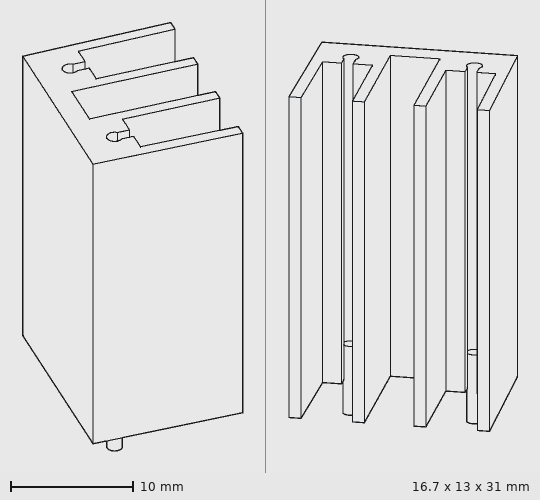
import cadquery as cq

total_height = 31.0
pin_exposed = 3.0
sink_height = total_height - pin_exposed
sink_depth = 13.0
front_width = 16.3
rear_width = 16.7

inner_fin_thickness = 1.0
inner_fin_spacing = 5.1
outer_fin_thickness = 1.02
center_floor = 1.98
side_floor = 4.5

pin_diameter = 1.3
pin_spacing = 10.3
pin_y = 3.0
pin_inserted = pin_exposed
slot_width = 0.95

pin_positions = [(side * pin_spacing / 2, pin_y) for side in (-1, 1)]


def half_width_at(y):
    """Half width of the sink, whose sides flare evenly toward the rear."""
    return (front_width + (rear_width - front_width) * y / sink_depth) / 2


def make_profile_block():
    """Solid block with flared sides, front face at Y = 0 and bottom at Z = 0."""
    outline = [
        (-front_width / 2, 0),
        (front_width / 2, 0),
        (rear_width / 2, sink_depth),
        (-rear_width / 2, sink_depth),
    ]
    return cq.Workplane("XY").polyline(outline).close().extrude(sink_height)


def make_center_channel():
    """Straight channel between the two inner fins."""
    half_channel = (inner_fin_spacing - inner_fin_thickness) / 2
    outline = [
        (-half_channel, center_floor),
        (half_channel, center_floor),
        (half_channel, sink_depth),
        (-half_channel, sink_depth),
    ]
    return cq.Workplane("XY").polyline(outline).close().extrude(sink_height)


def make_side_channel(side):
    """Channel between an inner fin and the sloping outer fin on one side."""
    inner_x = (inner_fin_spacing + inner_fin_thickness) / 2
    outline = [
        (side * inner_x, side_floor),
        (side * (half_width_at(side_floor) - outer_fin_thickness), side_floor),
        (side * (half_width_at(sink_depth) - outer_fin_thickness), sink_depth),
        (side * inner_x, sink_depth),
    ]
    return cq.Workplane("XY").polyline(outline).close().extrude(sink_height)


def make_slotted_bore(x, y):
    """Full-height pin bore with a slot opening into the side channel."""
    bore = cq.Workplane("XY").center(x, y).circle(pin_diameter / 2).extrude(sink_height)
    slot_length = side_floor - y
    slot = (
        cq.Workplane("XY")
        .center(x, y + slot_length / 2)
        .rect(slot_width, slot_length)
        .extrude(sink_height)
    )
    return bore.union(slot)


def make_heat_sink():
    sink = make_profile_block().cut(make_center_channel())
    for side in (-1, 1):
        sink = sink.cut(make_side_channel(side))
    for x, y in pin_positions:
        sink = sink.cut(make_slotted_bore(x, y))
    return sink


def make_pin(x, y):
    """Round pin set into the lower end of its bore and standing out below."""
    return (
        cq.Workplane("XY", origin=(x, y, -pin_exposed))
        .circle(pin_diameter / 2)
        .extrude(pin_exposed + pin_inserted)
    )


heat_sink = make_heat_sink()
pins = [make_pin(x, y) for x, y in pin_positions]

result = cq.Compound.makeCompound([heat_sink.val(), *[pin.val() for pin in pins]])